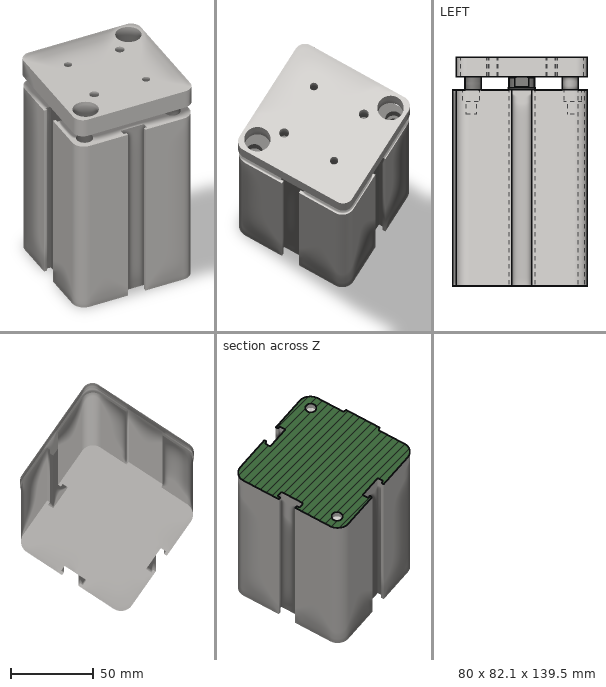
import cadquery as cq

total_height = 139.5
side = 80.0
plate_thickness = 12.0
plate_gap = 8.0
plate_bottom = total_height - plate_thickness
housing_height = plate_bottom - plate_gap

housing_corner_radius = 8.0
slot_opening = 12.0
slot_undercut = 2.0
slot_lip = 2.0
slot_depth = 5.7
rib_height = 2.1
rib_base_width = 26.0
rib_top_width = 25.0
screw_offset = 31.0
screw_hole_diameter = 6.5
screw_recess_diameter = 10.5
screw_recess_depth = 7.0
screw_hole_depth = 14.4
collar_diameter = 16.6
collar_height = 1.3

plate_corner_radius = 6.5
guide_offset = 29.6
guide_diameter = 10.0
access_hole_diameter = 16.0
fixing_offset = 17.7
wide_fixing_diameter = 6.0
narrow_fixing_diameter = 5.0
piston_diameter = 15.6
piston_tip_chamfer = 0.4
across_flats = 13.0
flat_bottom = housing_height + 2.1


def falling_diagonal(offset):
    """Points in the (-X, +Y) and (+X, -Y) corners."""
    return [(-offset, offset), (offset, -offset)]


def rising_diagonal(offset):
    """Points in the (-X, -Y) and (+X, +Y) corners."""
    return [(-offset, -offset), (offset, offset)]


def rounded_block(bottom, height, corner_radius):
    block = cq.Workplane("XY", origin=(0, 0, bottom)).rect(side, side).extrude(height)
    return block.edges("|Z").fillet(corner_radius)


def cylinders(points, diameter, bottom, top):
    return cq.Workplane("XY", origin=(0, 0, bottom)).pushPoints(points).circle(diameter / 2).extrude(top - bottom)


def slot_cutter(angle):
    """T-slot of the -Y face over the full housing height, turned about Z by angle."""
    cavity_depth = slot_depth - slot_lip
    face_y = -side / 2
    opening = cq.Workplane("XY").center(0, face_y + slot_depth / 2).rect(slot_opening, slot_depth)
    cavity = cq.Workplane("XY").center(0, face_y + slot_lip + cavity_depth / 2)
    cavity = cavity.rect(slot_opening + 2 * slot_undercut, cavity_depth)
    cutter = opening.extrude(housing_height).union(cavity.extrude(housing_height))
    return cutter.rotate((0, 0, 0), (0, 0, 1), angle)


def rear_rib():
    """Low rib with sloping flanks along the +Y face."""
    base_y = side / 2
    top_y = base_y + rib_height
    outline = [
        (-rib_base_width / 2, base_y),
        (rib_base_width / 2, base_y),
        (rib_top_width / 2, top_y),
        (-rib_top_width / 2, top_y),
    ]
    return cq.Workplane("XY").polyline(outline).close().extrude(housing_height)


def make_housing():
    housing = rounded_block(0, housing_height, housing_corner_radius).union(rear_rib())
    for angle in (-90, 0, 90):
        housing = housing.cut(slot_cutter(angle))
    screws = falling_diagonal(screw_offset)
    hole_floor = housing_height - screw_hole_depth
    housing = housing.cut(cylinders(screws, screw_hole_diameter, hole_floor, housing_height))
    recess_floor = housing_height - screw_recess_depth
    housing = housing.cut(cylinders(screws, screw_recess_diameter, recess_floor, housing_height))
    collar = cylinders([(0, 0)], collar_diameter, housing_height, housing_height + collar_height)
    return housing.union(collar)


def piston_rod():
    """Rod standing on the collar, with two flats facing -X and +X below the plate."""
    rod = cylinders([(0, 0)], piston_diameter, housing_height + collar_height, plate_bottom)
    rod = rod.faces(">Z").chamfer(piston_tip_chamfer)
    flat_height = plate_bottom - flat_bottom
    flat_depth = (piston_diameter - across_flats) / 2
    flat_x = (across_flats + flat_depth) / 2
    flats = cq.Workplane("XY", origin=(0, 0, flat_bottom)).pushPoints([(-flat_x, 0), (flat_x, 0)])
    flats = flats.rect(flat_depth, piston_diameter).extrude(flat_height)
    return rod.cut(flats)


def make_moving_unit():
    unit = rounded_block(plate_bottom, plate_thickness, plate_corner_radius)
    plate_holes = [
        (falling_diagonal(guide_offset), access_hole_diameter),
        (falling_diagonal(fixing_offset), wide_fixing_diameter),
        (rising_diagonal(fixing_offset), narrow_fixing_diameter),
    ]
    for points, diameter in plate_holes:
        unit = unit.cut(cylinders(points, diameter, plate_bottom, total_height))
    guides = cylinders(rising_diagonal(guide_offset), guide_diameter, housing_height, plate_bottom)
    return unit.union(guides).union(piston_rod())


housing = make_housing()
moving_unit = make_moving_unit()
result = cq.Compound.makeCompound([housing.val(), moving_unit.val()])